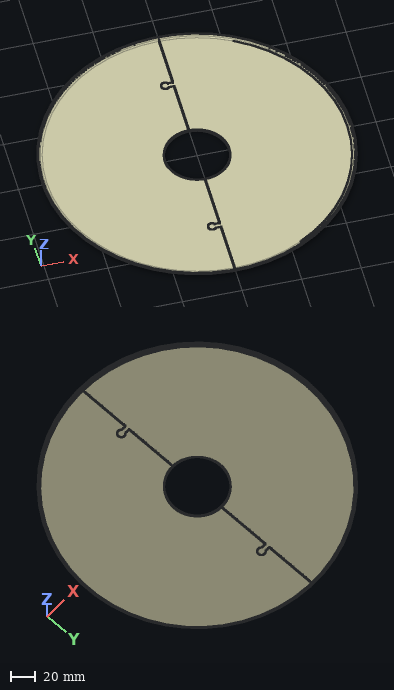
import cadquery as cq

rim_radius = 130.0
height = 3.0
floor_thickness = 1.5
rim_edge_height = 2.5
crest_radius = 129.2
outer_bend_radius = 128.7
outer_bend_height = 1.5
base_radius = 128.0
inner_bend_radius = 127.7
inner_bend_height = 2.0
floor_radius = 126.0
bore_radius = 27.0

seam_width = 0.3
seam_end_radius = 127.5
tab_gap = 0.13
tab_distance = 78.3
tab_head_offset = 7.0
tab_head_radius = 3.5
tab_neck_width = 4.2


def dish():
    """Revolve the floor and the bent, sloping rim around Z."""
    return (
        cq.Workplane("XZ")
        .moveTo(bore_radius, 0)
        .lineTo(base_radius, 0)
        .lineTo(outer_bend_radius, outer_bend_height)
        .lineTo(rim_radius, rim_edge_height)
        .lineTo(crest_radius, height)
        .lineTo(inner_bend_radius, inner_bend_height)
        .lineTo(floor_radius, floor_thickness)
        .lineTo(bore_radius, floor_thickness)
        .close()
        .revolve(360, (0, 0, 0), (0, 1, 0))
    )


def tab(y, clearance):
    """Round-headed tab reaching across the seam, enlarged by a clearance."""
    neck_length = tab_head_offset + seam_width / 2
    neck = (
        cq.Workplane("XY")
        .center(seam_width / 2 - neck_length / 2, y)
        .rect(neck_length, tab_neck_width + 2 * clearance)
        .extrude(height)
    )
    head = (
        cq.Workplane("XY")
        .center(-tab_head_offset, y)
        .circle(tab_head_radius + clearance)
        .extrude(height)
    )
    return neck.union(head)


def seam():
    """Straight through slot, detouring around both tabs as a thin gap."""
    slot = cq.Workplane("XY").rect(seam_width, 2 * seam_end_radius).extrude(height)
    for y in (-tab_distance, tab_distance):
        slot = slot.union(tab(y, tab_gap)).cut(tab(y, 0))
    return slot


result = dish().cut(seam())